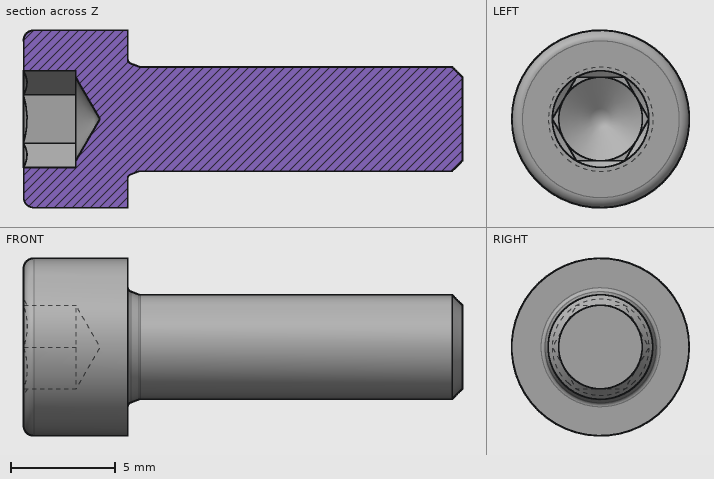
import cadquery as cq
import math


head_diameter = 8.5
head_length = 5.0
head_edge_radius = 0.5

shank_diameter = 5.0
shank_length = 16.0
tip_chamfer = 0.5

transition_diameter = 5.7
transition_arc_radius = 0.2
transition_length_ratio = 1.7
transition_length = transition_length_ratio * (transition_diameter - shank_diameter) / 2

socket_across_flats = 4.0
socket_across_corners = socket_across_flats / math.cos(math.radians(30))
socket_depth = 2.5
socket_mouth_angle = 60.0
socket_floor_angle = 60.0


def cone_along_x(start_x, start_radius, half_angle):
    """Cone with its base at start_x and its apex further along +X."""
    height = start_radius / math.tan(math.radians(half_angle))
    return cq.Workplane("XY").add(
        cq.Solid.makeCone(start_radius, 0, height, cq.Vector(start_x, 0, 0), cq.Vector(1, 0, 0))
    )


def make_head():
    head = cq.Workplane("YZ").circle(head_diameter / 2).extrude(head_length)
    return head.faces("<X").edges().fillet(head_edge_radius)


def make_shank():
    shank = cq.Workplane("YZ", origin=(head_length, 0, 0)).circle(shank_diameter / 2).extrude(shank_length)
    return shank.faces(">X").edges().chamfer(tip_chamfer)


def make_transition():
    """Collar that leaves the head face tangentially and runs out tangent to the shank."""
    shank_radius = shank_diameter / 2
    collar_radius = transition_diameter / 2
    shank_end_x = head_length + transition_length

    head_arc_centre = (head_length + transition_arc_radius, collar_radius)
    shank_arc_centre = (shank_end_x, shank_radius + transition_arc_radius)
    cone_slope = math.atan2(
        head_arc_centre[1] - shank_arc_centre[1],
        shank_arc_centre[0] - head_arc_centre[0],
    )

    def arc_point(centre, slope):
        """Point of an arc where its tangent falls towards the tip at the given slope."""
        return (
            centre[0] - transition_arc_radius * math.sin(slope),
            centre[1] - transition_arc_radius * math.cos(slope),
        )

    head_arc_middle_slope = (cone_slope + math.pi / 2) / 2
    return (
        cq.Workplane("XY")
        .moveTo(head_length, 0)
        .lineTo(head_length, collar_radius)
        .threePointArc(
            arc_point(head_arc_centre, head_arc_middle_slope),
            arc_point(head_arc_centre, cone_slope),
        )
        .lineTo(*arc_point(shank_arc_centre, cone_slope))
        .threePointArc(
            arc_point(shank_arc_centre, cone_slope / 2),
            (shank_end_x, shank_radius),
        )
        .lineTo(shank_end_x, 0)
        .close()
        .revolve(360, (0, 0, 0), (1, 0, 0))
    )


def make_socket():
    hexagon = cq.Workplane("YZ").polygon(6, socket_across_corners).extrude(socket_depth)
    mouth = cone_along_x(0, socket_across_corners / 2, socket_mouth_angle)
    floor = cone_along_x(socket_depth, socket_across_flats / 2, socket_floor_angle)
    return hexagon.union(mouth).union(floor)


result = make_head().union(make_shank()).union(make_transition()).cut(make_socket())